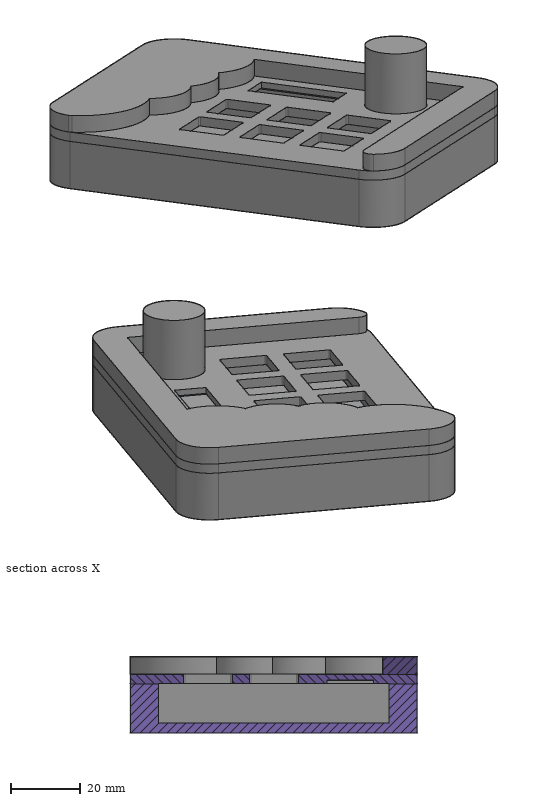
import cadquery as cq

LENGTH = 111.5
WIDTH = 82.9
CORNER_RADIUS = 10.0
BASE_HEIGHT = 14.3
PLATE_THICKNESS = 2.8
COVER_THICKNESS = 5.0
PLATE_TOP = BASE_HEIGHT + PLATE_THICKNESS

FLOOR_THICKNESS = 3.0
WALL_THICKNESS = 8.2

KEY_SIZE = 14.0
KEY_CORNER_RADIUS = 0.5
KEY_PITCH = 19.1
KEY_COLUMNS = 3
KEY_ROWS = 2
KEY_GRID_X = 7.9
KEY_GRID_Y = -9.5

CONTROL_ROW_Y = 22.1
DISPLAY_X = -2.6
DISPLAY_LENGTH = 26.9
DISPLAY_WIDTH = 9.4
DISPLAY_LIP = 1.8
DISPLAY_RECESS_MARGIN = 2.0

KNOB_X = 28.6
KNOB_DIAMETER = 17.8
KNOB_HOLE_DIAMETER = 18.0
KNOB_RISE = 18.1

RIM_WIDTH = 10.0
COVER_TIP_RADIUS = 3.0
OPENING_RIGHT = LENGTH / 2 - RIM_WIDTH
OPENING_BACK = WIDTH / 2 - RIM_WIDTH
FRONT = -WIDTH / 2
WAVE_START = (-20.4, OPENING_BACK)
WAVE_END = (-LENGTH / 2 + CORNER_RADIUS, FRONT)
SCALLOPS = [
    ((-24.3, 14.9), 14.9),
    ((-26.1, -0.3), 11.9),
    ((-31.9, -16.5), 12.3),
    (WAVE_END, 20.5),
]


def rounded_slab(bottom, height):
    """Slab with the case outline, starting at the given height."""
    return (
        cq.Workplane("XY", origin=(0, 0, bottom))
        .rect(LENGTH, WIDTH)
        .extrude(height)
        .edges("|Z")
        .fillet(CORNER_RADIUS)
    )


def make_base():
    """Open-topped tray."""
    cavity = (
        cq.Workplane("XY", origin=(0, 0, FLOOR_THICKNESS))
        .rect(LENGTH - 2 * WALL_THICKNESS, WIDTH - 2 * WALL_THICKNESS)
        .extrude(BASE_HEIGHT - FLOOR_THICKNESS)
    )
    return rounded_slab(0, BASE_HEIGHT).cut(cavity)


def make_key_openings():
    return (
        cq.Workplane("XY", origin=(KEY_GRID_X, KEY_GRID_Y, BASE_HEIGHT))
        .rarray(KEY_PITCH, KEY_PITCH, KEY_COLUMNS, KEY_ROWS)
        .rect(KEY_SIZE, KEY_SIZE)
        .extrude(PLATE_THICKNESS)
        .edges("|Z")
        .fillet(KEY_CORNER_RADIUS)
    )


def make_display_opening():
    """Window through the plate with a wider recess on the underside."""
    underside = cq.Workplane("XY", origin=(DISPLAY_X, CONTROL_ROW_Y, BASE_HEIGHT))
    window = underside.rect(DISPLAY_LENGTH, DISPLAY_WIDTH).extrude(PLATE_THICKNESS)
    recess = underside.rect(
        DISPLAY_LENGTH + 2 * DISPLAY_RECESS_MARGIN,
        DISPLAY_WIDTH + 2 * DISPLAY_RECESS_MARGIN,
    ).extrude(PLATE_THICKNESS - DISPLAY_LIP)
    return window.union(recess)


def knob_cylinder(diameter, height):
    """Cylinder on the knob axis, standing at the underside of the plate."""
    return (
        cq.Workplane("XY", origin=(KNOB_X, CONTROL_ROW_Y, BASE_HEIGHT))
        .circle(diameter / 2)
        .extrude(height)
    )


def make_plate():
    return (
        rounded_slab(BASE_HEIGHT, PLATE_THICKNESS)
        .cut(make_key_openings())
        .cut(make_display_opening())
        .cut(knob_cylinder(KNOB_HOLE_DIAMETER, PLATE_THICKNESS))
    )


def make_cover():
    """Top frame, open to the front, with a scalloped left edge and rounded tips."""
    outline = (
        cq.Workplane("XY", origin=(0, 0, PLATE_TOP))
        .moveTo(OPENING_RIGHT, FRONT)
        .lineTo(OPENING_RIGHT, OPENING_BACK)
        .lineTo(*WAVE_START)
    )
    for end_point, radius in SCALLOPS:
        outline = outline.radiusArc(end_point, radius)
    opening = outline.close().extrude(COVER_THICKNESS)
    cover = rounded_slab(PLATE_TOP, COVER_THICKNESS).cut(opening)

    middle_height = PLATE_TOP + COVER_THICKNESS / 2
    for tip_x in (WAVE_END[0], OPENING_RIGHT):
        tip = cq.selectors.NearestToPointSelector((tip_x, FRONT, middle_height))
        cover = cover.edges("|Z").edges(tip).fillet(COVER_TIP_RADIUS)
    return cover


base = make_base()
plate = make_plate()
cover = make_cover()
knob = knob_cylinder(KNOB_DIAMETER, PLATE_THICKNESS + KNOB_RISE)

result = cq.Compound.makeCompound([base.val(), plate.val(), cover.val(), knob.val()])